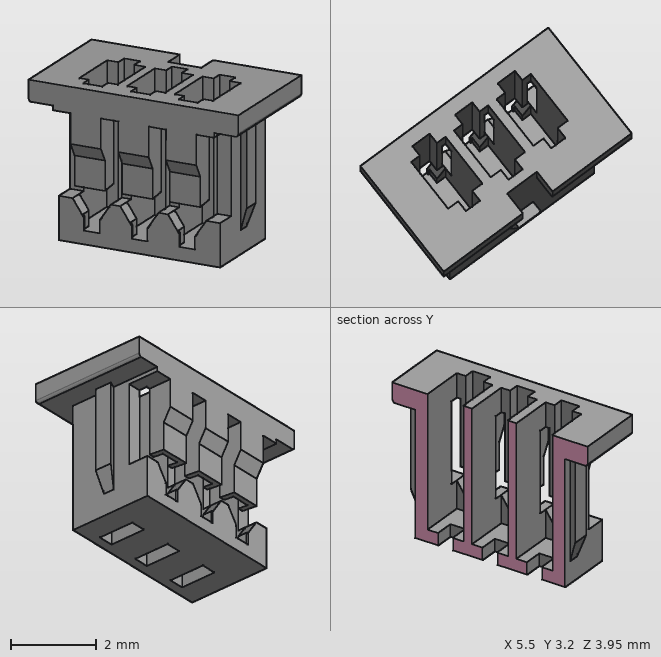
import cadquery as cq


flange_width = 5.5
flange_depth = 3.2
total_height = 3.95
flange_thickness = 0.54
flange_round = 0.105
flange_trim = 0.01
flange_bottom = total_height - flange_thickness
front_y = -flange_depth / 2
back_y = flange_depth / 2

body_width = 4.225
body_back_y = 1.0
base_front_y = -1.3
wall_front_y = -0.735
base_top = 1.095
gap_top = 3.295

flange_notch_width = 0.87
tooth_width = 0.65
tooth_reach = 0.3
tooth_top = 1.495
tooth_bottom = 0.5

rib_reach = 0.2
rib_center_y = -0.105
rib_width = 0.47
rib_root_width = 0.295
rib_slope_top = 1.19
rib_tip = 0.6

contact_pitch = 1.25
contact_xs = [-contact_pitch, 0, contact_pitch]

arm_width = 0.8
arm_back_y = -0.955
arm_lower_front_y = -1.395
arm_slope_top = 2.54
arm_slope_bottom = 2.195
arm_back_bottom = 1.49
arm_front_bottom = 1.445

cavity_width = 1.0
cavity_back_y = 0.455
cavity_floor = 0.34
back_lean = 0.014
front_channel_width = 0.5
front_channel_y = -1.245
slot_width = 0.41
slot_back_y = 0.755
window_front_y = -0.26
funnel_bottom = 0.66


def block(width, y_range, z_range, center_x=0):
    """Box centred on center_x that fills the given Y and Z ranges."""
    depth = y_range[1] - y_range[0]
    height = z_range[1] - z_range[0]
    corner = (center_x - width / 2, y_range[0], z_range[0])
    return cq.Workplane("XY").box(width, depth, height, centered=False).translate(corner)


def side_prism(points, width, center_x=0):
    """Prism with a (Y, Z) outline, centred on center_x."""
    outline = cq.Workplane("YZ", origin=(center_x, 0, 0)).polyline(points).close()
    return outline.extrude(width / 2, both=True)


def make_flange():
    blank = block(flange_width, (front_y, back_y), (flange_bottom - flange_trim, total_height))
    blank = blank.edges("<Z").edges("<X or >X or >Y").fillet(flange_round)
    trimming = block(flange_width, (front_y, back_y), (flange_bottom - flange_trim, flange_bottom))
    flange = blank.cut(trimming)
    notch = block(flange_notch_width, (body_back_y, back_y), (flange_bottom, total_height))
    return flange.cut(notch)


def make_body():
    base = block(body_width, (base_front_y, body_back_y), (0, base_top))
    wall = block(body_width, (wall_front_y, body_back_y), (0, flange_bottom))
    front_slab = block(body_width, (front_y, body_back_y), (gap_top, total_height))
    return base.union(wall).union(front_slab)


def make_tooth():
    points = [
        (body_back_y, tooth_bottom),
        (body_back_y + tooth_reach, tooth_top),
        (body_back_y, tooth_top),
    ]
    return side_prism(points, tooth_width)


def make_ribs():
    """Both end ribs as one bar through the body: dovetail in plan, with sloped lower ends."""
    half_width = rib_width / 2
    half_root = rib_root_width / 2
    half_body = body_width / 2
    outer_x = half_body + rib_reach
    plan_points = [
        (-outer_x, rib_center_y - half_width),
        (-half_body, rib_center_y - half_root),
        (half_body, rib_center_y - half_root),
        (outer_x, rib_center_y - half_width),
        (outer_x, rib_center_y + half_width),
        (half_body, rib_center_y + half_root),
        (-half_body, rib_center_y + half_root),
        (-outer_x, rib_center_y + half_width),
    ]
    end_points = [
        (-outer_x, flange_bottom),
        (-outer_x, rib_slope_top),
        (-half_body, rib_tip),
        (half_body, rib_tip),
        (outer_x, rib_slope_top),
        (outer_x, flange_bottom),
    ]
    bar = cq.Workplane("XY").polyline(plan_points).close().extrude(flange_bottom)
    end_slopes = cq.Workplane("XZ").polyline(end_points).close().extrude(flange_depth / 2, both=True)
    return bar.intersect(end_slopes)


def make_arm(center_x):
    points = [
        (arm_back_y, gap_top),
        (front_y, gap_top),
        (front_y, arm_slope_top),
        (arm_lower_front_y, arm_slope_bottom),
        (arm_lower_front_y, arm_front_bottom),
        (arm_back_y, arm_back_bottom),
    ]
    return side_prism(points, arm_width, center_x)


def leaning_cut(width, front, back, bottom, center_x):
    """Cut open at the top whose back wall leans forward towards the bottom."""
    points = [
        (front, bottom),
        (back - back_lean, bottom),
        (back, total_height),
        (front, total_height),
    ]
    return side_prism(points, width, center_x)


def make_cavity(center_x):
    """Main chamber, front channel, back slot through the bottom, and groove in the front lip."""
    chamber = leaning_cut(cavity_width, arm_back_y, cavity_back_y, cavity_floor, center_x)
    channel = block(front_channel_width, (front_channel_y, arm_back_y), (cavity_floor, total_height), center_x)
    back_slot = leaning_cut(slot_width, window_front_y, slot_back_y, 0, center_x)
    half_slot = slot_width / 2
    half_cavity = cavity_width / 2
    groove_points = [
        (center_x - half_slot, cavity_floor),
        (center_x + half_slot, cavity_floor),
        (center_x + half_slot, funnel_bottom),
        (center_x + half_cavity, base_top),
        (center_x - half_cavity, base_top),
        (center_x - half_slot, funnel_bottom),
    ]
    groove_start = cq.Workplane("XZ", origin=(0, arm_back_y, 0))
    groove = groove_start.polyline(groove_points).close().extrude(arm_back_y - base_front_y)
    return chamber.union(channel).union(back_slot).union(groove)


result = make_flange().union(make_body()).union(make_tooth()).union(make_ribs())
for contact_x in contact_xs:
    result = result.union(make_arm(contact_x))
for contact_x in contact_xs:
    result = result.cut(make_cavity(contact_x))